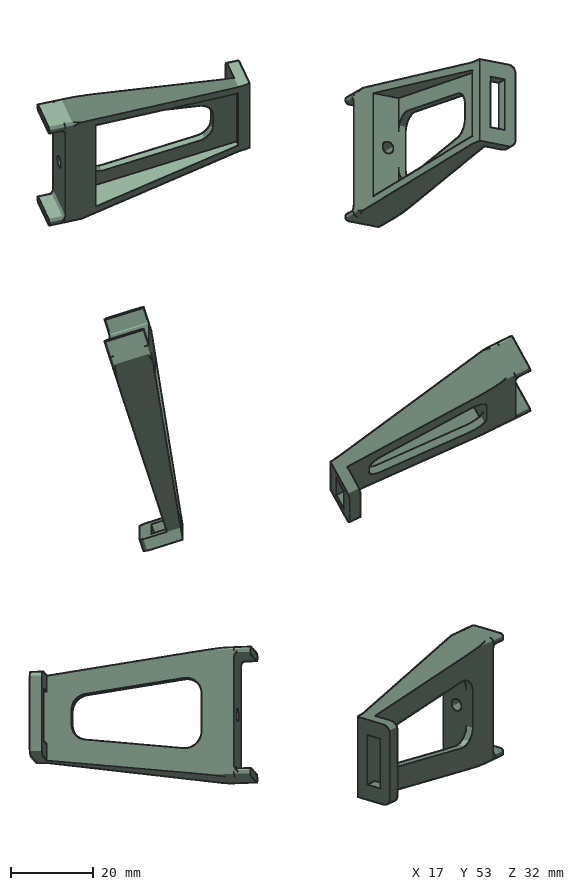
import cadquery as cq
import math

length = 53.0
front_height = 32.0
body_width = 10.0

lip_length = 4.0
lip_thickness = 2.0
straight_length = 6.0
edge_radius = lip_thickness / 2
lip_edge_flat = 0.005
root_radius = edge_radius
edge_center_z = front_height / 2 - edge_radius

tab_reach = 7.0
tab_thickness = 3.0
tab_height = 21.0
tab_corner_radius = 2.0
tab_opening_height = 13.0
tab_front = length - tab_thickness

rear_width = 3.0
window_front = 12.0
window_rear = 44.0
rail_thickness = 6.0
window_corner_radius = 4.0
wall_thickness = 2.0
flange_thickness = 2.0
bore_diameter = 3.0

taper_slope = (front_height - tab_height) / 2 / (tab_front - straight_length)


def tapered_half_height(y):
    """Half height of the sloped part of the body at a given Y."""
    return front_height / 2 - taper_slope * (y - straight_length)


def block(x_min, x_max, y_min, y_max, z_min, z_max):
    """Box given by its limits along each axis."""
    size = (x_max - x_min, y_max - y_min, z_max - z_min)
    return cq.Workplane("XY").box(*size, centered=False).translate((x_min, y_min, z_min))


def make_body():
    """Bar with rounded outer edges, tapered in height and in width."""
    bar = block(0, body_width, 0, length, -front_height / 2, front_height / 2)
    bar = bar.edges("|Y").fillet(edge_radius)
    side_outline = (
        cq.Workplane("YZ")
        .polyline([
            (0, -front_height / 2),
            (straight_length, -front_height / 2),
            (tab_front, -tab_height / 2),
            (length, -tab_height / 2),
            (length, tab_height / 2),
            (tab_front, tab_height / 2),
            (straight_length, front_height / 2),
            (0, front_height / 2),
        ])
        .close()
        .extrude(body_width)
    )
    plan_outline = (
        cq.Workplane("XY")
        .polyline([
            (0, 0),
            (body_width, 0),
            (body_width, straight_length),
            (rear_width, length),
            (0, length),
        ])
        .close()
        .extrude(front_height / 2, both=True)
    )
    return bar.intersect(side_outline).intersect(plan_outline)


def make_upper_lip():
    """Lip with nearly semicircular edges, joined to the body by a concave root fillet."""
    lip = (
        cq.Workplane("XZ")
        .center(body_width / 2, edge_center_z)
        .rect(body_width, lip_thickness)
        .extrude(-lip_length)
        .edges("|Y")
        .fillet(edge_radius - lip_edge_flat / 2)
    )
    root_start = lip_length - root_radius
    arc_offset = root_radius * math.sin(math.pi / 4)

    def root_section(plane):
        inner, outer = edge_radius, edge_radius + root_radius
        return (
            plane
            .moveTo(0, root_start)
            .lineTo(inner, root_start)
            .threePointArc((outer - arc_offset, root_start + arc_offset), (outer, lip_length))
            .lineTo(0, lip_length)
            .close()
        )

    straight_plane = cq.Plane((edge_radius, 0, edge_center_z), (0, 0, -1), (1, 0, 0))
    root = root_section(cq.Workplane(straight_plane)).extrude(body_width - 2 * edge_radius)
    for x in (edge_radius, body_width - edge_radius):
        turn = root_section(cq.Workplane("XY")).revolve(360, (0, 0), (0, 1))
        root = root.union(turn.translate((x, 0, edge_center_z)))
    root_limits = block(0, body_width, 0, lip_length, 0, edge_center_z)
    return lip.union(root.intersect(root_limits))


def make_tab():
    """Rear loop reaching out from the inner side of the body."""
    tab = block(-tab_reach, 0, tab_front, length, -tab_height / 2, tab_height / 2)
    tab = tab.edges("|Y and <X").fillet(tab_corner_radius)
    opening = block(
        -tab_reach + tab_thickness, 0, tab_front, length, -tab_opening_height / 2, tab_opening_height / 2
    )
    return tab.cut(opening)


def make_window():
    """Cutter for the window, whose long sides run parallel to the sloped body sides."""
    rail_offset = rail_thickness * math.hypot(1, taper_slope)
    front_z = tapered_half_height(window_front) - rail_offset
    rear_z = tapered_half_height(window_rear) - rail_offset
    return (
        cq.Workplane("YZ")
        .polyline([
            (window_front, -front_z),
            (window_rear, -rear_z),
            (window_rear, rear_z),
            (window_front, front_z),
        ])
        .close()
        .extrude(body_width)
        .edges("|X")
        .fillet(window_corner_radius)
    )


def make_pocket():
    """Cutter that hollows the body from its outer side, leaving a wall and two flanges."""
    flange_offset = flange_thickness * math.hypot(1, taper_slope)
    front_z = tapered_half_height(window_front) - flange_offset
    rear_z = tapered_half_height(tab_front) - flange_offset
    return (
        cq.Workplane("YZ", origin=(wall_thickness, 0, 0))
        .polyline([
            (window_front, -front_z),
            (tab_front, -rear_z),
            (tab_front, rear_z),
            (window_front, front_z),
        ])
        .close()
        .extrude(body_width)
    )


bore = cq.Workplane("XZ").center(body_width / 2, 0).circle(bore_diameter / 2).extrude(-window_front)

upper_lip = make_upper_lip()
front_gap = block(0, body_width, 0, lip_length, -front_height / 2, front_height / 2)

result = (
    make_body()
    .cut(front_gap)
    .union(make_tab())
    .cut(make_window())
    .cut(make_pocket())
    .cut(bore)
    .union(upper_lip)
    .union(upper_lip.mirror("XY"))
)